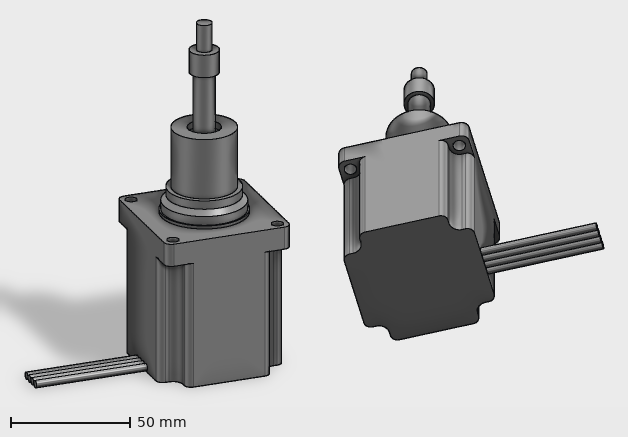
import cadquery as cq
import math

block_width = 56.4
block_height = 66.3
flange_thickness = 10.0
flange_corner_radius = 3.3

hole_spacing = 47.1
hole_diameter = 5.2
relief_edge_radius = 3.0
relief_wall_offset = 9.1

pilot_radius = 19.0
pilot_top = 67.7
step_radius = 18.2
step_top = 71.6
collar_radius = 16.1
collar_bottom = 74.0
collar_top = 77.8
sleeve_radius = 14.0
sleeve_top = 104.7
recess_radius = 7.1
recess_depth = 3.0

wire_count = 4
wire_diameter = 3.2
wire_gap = 0.08
wire_center_z = 2.0
overall_depth = 106.4
wire_anchor_depth = 1.5

rod_radius = 4.7
shaft_collar_radius = 6.4
shaft_collar_bottom = 129.7
shaft_collar_top = 139.9
tip_radius = 3.3
shaft_top = 152.0

half_width = block_width / 2
flange_bottom = block_height - flange_thickness
recess_floor = sleeve_top - recess_depth
wire_length = overall_depth - block_width
wire_pitch = wire_diameter + wire_gap


def make_block():
    """Square block with rounded vertical edges."""
    block = cq.Workplane("XY").box(block_width, block_width, block_height, centered=(True, True, False))
    return block.edges("|Z").fillet(flange_corner_radius)


def make_corner_relief():
    """Cutter for the +X +Y corner: a screw pocket around the hole with rounded outer edges."""
    hole = hole_spacing / 2
    wall = half_width - relief_wall_offset
    round_end = wall - relief_edge_radius
    round_start = half_width - relief_edge_radius
    round_mid = relief_edge_radius * math.sqrt(0.5)
    pocket_mid = hole - (hole - wall) * math.sqrt(0.5)
    return (
        cq.Workplane("XY")
        .moveTo(half_width, half_width)
        .lineTo(half_width, round_end)
        .threePointArc((round_start + round_mid, round_end + round_mid), (round_start, wall))
        .lineTo(hole, wall)
        .threePointArc((pocket_mid, pocket_mid), (wall, hole))
        .lineTo(wall, round_start)
        .threePointArc((round_end + round_mid, round_start + round_mid), (round_end, half_width))
        .lineTo(half_width, half_width)
        .close()
        .extrude(flange_bottom)
    )


def make_mounting_holes():
    """Cutters for the four holes through the flange."""
    return (
        cq.Workplane("XY", origin=(0, 0, flange_bottom))
        .rect(hole_spacing, hole_spacing, forConstruction=True)
        .vertices()
        .circle(hole_diameter / 2)
        .extrude(flange_thickness)
    )


def make_nose():
    """Revolved pilot, tapered step, collar and sleeve, with a shallow recess in the top."""
    return (
        cq.Workplane("XZ")
        .moveTo(0, block_height)
        .lineTo(pilot_radius, block_height)
        .lineTo(pilot_radius, pilot_top)
        .lineTo(step_radius, pilot_top)
        .lineTo(step_radius, step_top)
        .lineTo(collar_radius, collar_bottom)
        .lineTo(collar_radius, collar_top)
        .lineTo(sleeve_radius, collar_top)
        .lineTo(sleeve_radius, sleeve_top)
        .lineTo(recess_radius, sleeve_top)
        .lineTo(recess_radius, recess_floor)
        .lineTo(0, recess_floor)
        .close()
        .revolve(360, (0, 0, 0), (0, 1, 0))
    )


def make_wire(x):
    """One straight wire leaving the -Y face of the block."""
    start_y = wire_anchor_depth - half_width
    return (
        cq.Workplane("XZ", origin=(x, start_y, wire_center_z))
        .circle(wire_diameter / 2)
        .extrude(wire_length + wire_anchor_depth)
    )


def make_motor():
    """Motor housing with its nose and lead wires."""
    motor = make_block()
    relief = make_corner_relief()
    for corner in range(4):
        motor = motor.cut(relief.rotate((0, 0, 0), (0, 0, 1), 90 * corner))
    motor = motor.cut(make_mounting_holes()).union(make_nose())
    for index in range(wire_count):
        x = (index - (wire_count - 1) / 2) * wire_pitch
        motor = motor.union(make_wire(x))
    return motor


def make_cylinder(radius, bottom, top):
    """Upright cylinder on the Z axis between two heights."""
    return cq.Workplane("XY", origin=(0, 0, bottom)).circle(radius).extrude(top - bottom)


def make_shaft():
    """Rod standing on the recess floor, with a collar and a thinner tip."""
    rod = make_cylinder(rod_radius, recess_floor, shaft_collar_bottom)
    collar = make_cylinder(shaft_collar_radius, shaft_collar_bottom, shaft_collar_top)
    tip = make_cylinder(tip_radius, shaft_collar_top, shaft_top)
    return rod.union(collar).union(tip)


motor = make_motor()
shaft = make_shaft()
result = cq.Compound.makeCompound([motor.solids().val(), shaft.solids().val()])